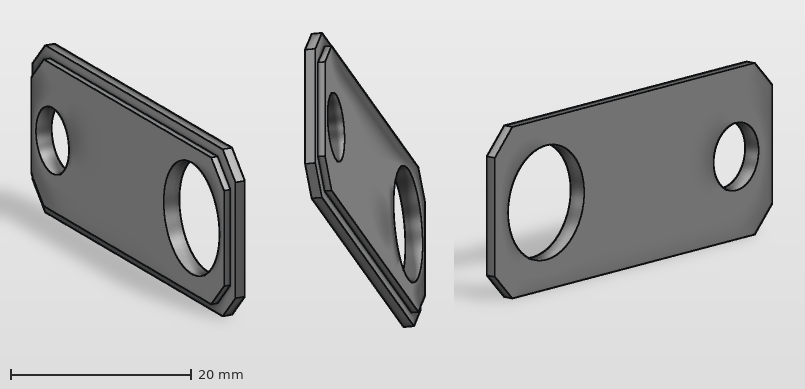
import cadquery as cq

length = 47.5
height = 19.5
thickness = 2.0
corner_chamfer = 3.0

panel_inset = 1.2
panel_thickness = 0.8
flange_thickness = thickness - panel_thickness

small_hole_diameter = 7.7
small_hole_x = -17.58
small_hole_z = -0.35
large_hole_diameter = 13.0
large_hole_x = 14.95
large_hole_z = 0.15


def chamfered_plate(plate_length, plate_height, plate_thickness):
    """Plate with four cut corners, its back on the XZ plane, growing toward -Y."""
    return (
        cq.Workplane("XZ")
        .rect(plate_length, plate_height)
        .extrude(plate_thickness)
        .edges("|Y")
        .chamfer(corner_chamfer)
    )


def through_hole(diameter, x, z):
    """Cylinder along Y spanning the full thickness."""
    return cq.Workplane("XZ").center(x, z).circle(diameter / 2).extrude(thickness)


flange = chamfered_plate(length, height, flange_thickness)
panel = chamfered_plate(length - 2 * panel_inset, height - 2 * panel_inset, thickness)

result = (
    flange.union(panel)
    .cut(through_hole(small_hole_diameter, small_hole_x, small_hole_z))
    .cut(through_hole(large_hole_diameter, large_hole_x, large_hole_z))
)